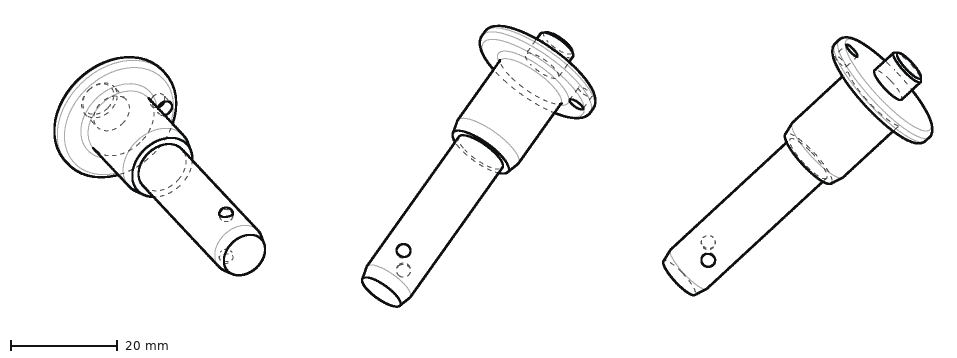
import cadquery as cq
import math

total_length = 60.5

button_radius = 3.75
button_length = 5.5
button_chamfer = 0.5

flange_radius = 12.495
flange_thickness = 3.0
flange_rounding = flange_thickness / 3
flange_end_x = button_length + flange_thickness

lanyard_hole_radius = 1.5
lanyard_hole_offset = 9.7

hub_radius = 7.0
hub_end_x = 26.5
hub_fillet = flange_rounding
shank_radius = 5.0
taper_length = 2.5
taper_angle = 15.0
taper_drop = taper_length * math.tan(math.radians(taper_angle))

ball_radius = 1.35
ball_x = 52.9
ball_reach = 6.0
ball_center_offset = ball_reach - ball_radius


def disc(start_x, end_x, radius):
    """Cylinder about the pin axis between two X positions."""
    return cq.Workplane("YZ", origin=(start_x, 0, 0)).circle(radius).extrude(end_x - start_x)


def tapered_bar(end_x, radius):
    """Bar from the flange to end_x whose last stretch is a shallow cone."""
    taper_start_x = end_x - taper_length
    return (
        cq.Workplane("XY")
        .moveTo(flange_end_x, 0)
        .lineTo(flange_end_x, radius)
        .lineTo(taper_start_x, radius)
        .lineTo(end_x, radius - taper_drop)
        .lineTo(end_x, 0)
        .close()
        .revolve(360, (0, 0, 0), (1, 0, 0))
    )


def hub_root_fillet():
    """Ring that blends the hub into the flange with a concave arc."""
    arc_center_x = flange_end_x + hub_fillet
    arc_center_radius = hub_radius + hub_fillet
    arc_reach = hub_fillet * math.sqrt(0.5)
    return (
        cq.Workplane("XY")
        .moveTo(flange_end_x, 0)
        .lineTo(flange_end_x, arc_center_radius)
        .threePointArc(
            (arc_center_x - arc_reach, arc_center_radius - arc_reach),
            (arc_center_x, hub_radius),
        )
        .lineTo(arc_center_x, 0)
        .close()
        .revolve(360, (0, 0, 0), (1, 0, 0))
    )


def make_ball(side):
    """Locking ball on the +Z (side = 1) or -Z (side = -1) side."""
    return cq.Workplane("XY").sphere(ball_radius).translate((ball_x, 0, side * ball_center_offset))


def make_pin_body(balls):
    """Button, flange, hub and shank in one piece, with a socket for each ball."""
    button = disc(0, button_length, button_radius).faces("<X").chamfer(button_chamfer)
    flange = disc(button_length, flange_end_x, flange_radius).edges().fillet(flange_rounding)
    hub = tapered_bar(hub_end_x, hub_radius)
    shank = tapered_bar(total_length, shank_radius)
    body = button.union(flange).union(hub).union(hub_root_fillet()).union(shank)

    lanyard_hole = disc(button_length, flange_end_x, lanyard_hole_radius)
    body = body.cut(lanyard_hole.translate((0, lanyard_hole_offset, 0)))

    for ball in balls:
        body = body.cut(ball)
    return body.solids()


locking_balls = [make_ball(side) for side in (1, -1)]
pin_body = make_pin_body(locking_balls)

result = cq.Compound.makeCompound([pin_body.val(), *[ball.val() for ball in locking_balls]])